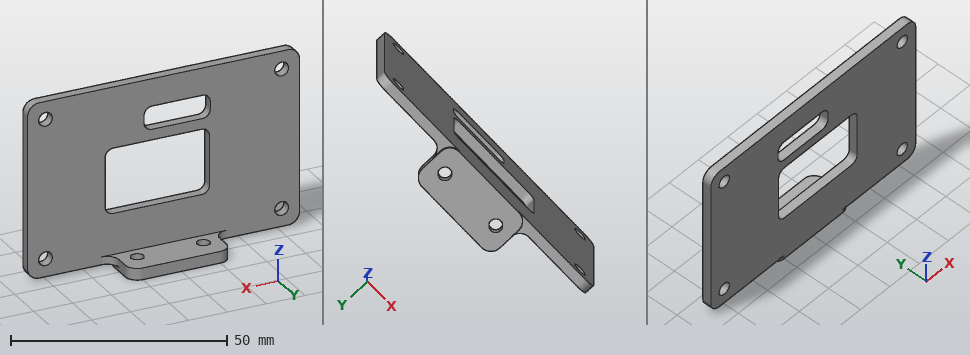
import cadquery as cq

plate_width = 70.0
plate_height = 45.0
plate_thickness = 2.5
corner_radius = 3.0
plate_hole_diameter = 3.5
plate_hole_margin = 4.6

window_width = 26.8
window_height = 16.7
window_x = 1.6
window_drop = 24.1
slot_width = 17.0
slot_height = 5.95
slot_x = -3.5
slot_drop = 10.0
opening_radius = 2.0

tab_width = 26.0
tab_depth = 12.0
tab_thickness = 3.0
tab_overhang = 1.0
tab_hole_diameter = 3.2
tab_hole_spacing = 17.0
tab_hole_y = 6.0
gusset_radius = corner_radius
gusset_height = tab_thickness - tab_overhang


def rounded_block(width, height, radius, x, z):
    """Block as thick as the plate, centred on (x, z), with rounded corners."""
    return (
        cq.Workplane("XY")
        .box(width, plate_thickness, height)
        .edges("|Y")
        .fillet(radius)
        .translate((x, plate_thickness / 2, z))
    )


def make_plate():
    plate = rounded_block(plate_width, plate_height, corner_radius, 0, plate_height / 2)
    window = rounded_block(
        window_width, window_height, opening_radius, window_x, plate_height - window_drop
    )
    slot = rounded_block(slot_width, slot_height, opening_radius, slot_x, plate_height - slot_drop)
    holes = (
        cq.Workplane("XZ", origin=(0, 0, plate_height / 2))
        .rarray(plate_width - 2 * plate_hole_margin, plate_height - 2 * plate_hole_margin, 2, 2)
        .circle(plate_hole_diameter / 2)
        .extrude(-plate_thickness)
    )
    return plate.cut(window).cut(slot).cut(holes)


def make_tab():
    tab = (
        cq.Workplane("XY", origin=(0, tab_depth / 2, -tab_overhang))
        .rect(tab_width, tab_depth)
        .extrude(tab_thickness)
        .edges("|Z")
        .fillet(corner_radius)
    )
    holes = (
        cq.Workplane("XY", origin=(0, tab_hole_y, -tab_overhang))
        .rarray(tab_hole_spacing, 0.7, 2, 1)
        .circle(tab_hole_diameter / 2)
        .extrude(tab_thickness)
    )
    return tab.cut(holes)


def make_gusset(side):
    """Concave corner between the plate's back and one side (-1 or 1) of the tab."""
    inner_x = side * tab_width / 2
    outer_x = side * (tab_width / 2 + gusset_radius)
    back_y = plate_thickness + gusset_radius
    corner = (
        cq.Workplane("XY")
        .moveTo(inner_x, plate_thickness)
        .lineTo(outer_x, plate_thickness)
        .lineTo(outer_x, back_y)
        .lineTo(inner_x, back_y)
        .close()
        .extrude(gusset_height)
    )
    overlap = (
        cq.Workplane("XY")
        .box(corner_radius, corner_radius - plate_thickness, gusset_height, centered=(True, False, False))
        .translate((inner_x - side * corner_radius / 2, plate_thickness, 0))
    )
    hollow = cq.Workplane("XY").center(outer_x, back_y).circle(gusset_radius).extrude(gusset_height)
    return corner.cut(hollow).union(overlap)


result = make_plate().union(make_tab())
for side in (-1, 1):
    result = result.union(make_gusset(side))